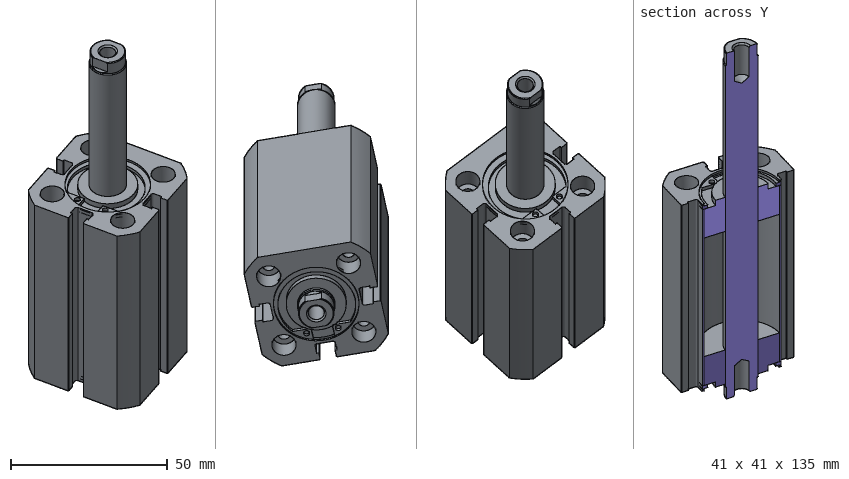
import cadquery as cq
import math

housing_width = 41.0
housing_height = 73.0
corner_diameter = 51.0
bore_radius = 13.6

slot_mouth_width = 5.3
slot_mouth_chamfer = 0.3
slot_lip_depth = 2.5
side_slot_floor = 14.5
front_slot_floor = 14.6
slot_inner_width = 6.6
slot_corner_radius = 0.8

mount_pitch = 25.9
mount_hole_diameter = 4.0
mount_counterbore_diameter = 7.7
mount_counterbore_depth = 7.0

ring_setback = 0.8
ring_thickness = 1.2
ring_outer_radius = 14.3
ring_inner_radius = 12.4
ring_inner_offset = 1.0
ring_gap = 6.9
ring_lug_edge = 9.0
ring_hole_x = 5.1
ring_hole_y = 10.5
ring_hole_diameter = 1.9

gland_length = 13.5
gland_boss_radius = 9.6

rod_diameter = 12.0
rod_radius = rod_diameter / 2
rod_length = 135.0
rod_below_housing = 6.0
shoulder_chamfer = 0.32
neck_radius = rod_radius - shoulder_chamfer
neck_length = 4.6
rod_end_chamfer = 0.3
flat_width = 10.0
flat_length = 3.8
rod_hole_radius = 2.5
rod_hole_mouth_radius = 3.1
rod_hole_depth = 12.0
drill_tip_angle = 118.0

mid_height = housing_height / 2
half_width = housing_width / 2


def other_end(shape, height):
    """Copy of a shape reflected to the opposite end, about the horizontal plane at a height."""
    return shape.mirror("XY", (0, 0, height))


def disc(radius, bottom, thickness):
    return cq.Workplane("XY").workplane(offset=bottom).circle(radius).extrude(thickness)


def slot_cutter(floor):
    """T-slot along Z, opening toward -Y, with a chamfered mouth and a rounded floor."""
    lip_y = half_width - slot_lip_depth
    mouth = (
        cq.Workplane("XY")
        .center(0, -(floor + half_width) / 2)
        .rect(slot_mouth_width, half_width - floor)
        .extrude(housing_height)
    )
    channel = (
        cq.Workplane("XY")
        .center(0, -(floor + lip_y) / 2)
        .rect(slot_inner_width, lip_y - floor)
        .extrude(housing_height)
    )
    channel = channel.edges("|Z and >Y").fillet(slot_corner_radius)
    mouth_edge = slot_mouth_width / 2
    chamfers = (
        cq.Workplane("XY")
        .moveTo(-mouth_edge - slot_mouth_chamfer, -half_width)
        .lineTo(mouth_edge + slot_mouth_chamfer, -half_width)
        .lineTo(mouth_edge, -half_width + slot_mouth_chamfer)
        .lineTo(-mouth_edge, -half_width + slot_mouth_chamfer)
        .close()
        .extrude(housing_height)
    )
    return mouth.union(channel).union(chamfers)


def mounting_hole_cutter():
    """Four through holes, counterbored from both ends."""
    pattern = cq.Workplane("XY").rect(mount_pitch, mount_pitch, forConstruction=True).vertices()
    holes = pattern.circle(mount_hole_diameter / 2).extrude(housing_height)
    counterbores = pattern.circle(mount_counterbore_diameter / 2).extrude(mount_counterbore_depth)
    return holes.union(counterbores).union(other_end(counterbores, mid_height))


def make_housing():
    body = cq.Workplane("XY").rect(housing_width, housing_width).extrude(housing_height)
    body = body.intersect(disc(corner_diameter / 2, 0, housing_height))
    body = body.cut(disc(bore_radius, 0, housing_height))

    groove = disc(ring_outer_radius, ring_setback, ring_thickness)
    body = body.cut(groove).cut(other_end(groove, mid_height))

    body = body.cut(slot_cutter(front_slot_floor))
    side_slot = slot_cutter(side_slot_floor)
    for angle in (-90, 90):
        body = body.cut(side_slot.rotate((0, 0, 0), (0, 0, 1), angle))
    return body.cut(mounting_hole_cutter())


def make_lower_gland():
    """Bushing behind the retaining ring, with a boss reaching the end face of the housing."""
    shoulder = ring_setback + ring_thickness
    return (
        disc(bore_radius, shoulder, gland_length - shoulder)
        .union(disc(gland_boss_radius, 0, shoulder))
        .cut(disc(rod_radius, 0, gland_length))
    )


def make_lower_retaining_ring():
    """Internal circlip: eccentric ring with two drilled lugs on the -Y side."""
    plane = cq.Workplane("XY").workplane(offset=ring_setback)
    opening = plane.center(0, -ring_inner_offset).circle(ring_inner_radius).extrude(ring_thickness)
    lug_zone = (
        plane.center(0, -ring_lug_edge - ring_outer_radius / 2)
        .rect(2 * ring_outer_radius, ring_outer_radius)
        .extrude(ring_thickness)
    )
    gap = plane.center(0, -ring_outer_radius / 2).rect(ring_gap, ring_outer_radius).extrude(ring_thickness)
    plier_holes = (
        plane.pushPoints([(-ring_hole_x, -ring_hole_y), (ring_hole_x, -ring_hole_y)])
        .circle(ring_hole_diameter / 2)
        .extrude(ring_thickness)
    )
    return (
        disc(ring_outer_radius, ring_setback, ring_thickness)
        .cut(opening.cut(lug_zone))
        .cut(gap)
        .cut(plier_holes)
    )


def rod_hole_cutter(rod_bottom):
    """Blind hole in the lower rod end, with a countersunk mouth and a drill-point bottom."""
    countersink = rod_hole_mouth_radius - rod_hole_radius
    tip_height = rod_hole_radius / math.tan(math.radians(drill_tip_angle / 2))
    return (
        cq.Workplane("XZ", origin=(0, 0, rod_bottom))
        .moveTo(0, 0)
        .lineTo(rod_hole_mouth_radius, 0)
        .lineTo(rod_hole_radius, countersink)
        .lineTo(rod_hole_radius, rod_hole_depth)
        .lineTo(0, rod_hole_depth + tip_height)
        .close()
        .revolve(360, (0, 0, 0), (0, 1, 0))
    )


def wrench_flat_cutter(rod_bottom):
    """Two flats facing -Y and +Y, each running out in a 45 degree slope."""
    run_out = rod_radius - flat_width / 2
    side = (
        cq.Workplane("YZ", origin=(-rod_radius, 0, rod_bottom))
        .moveTo(flat_width / 2, 0)
        .lineTo(rod_radius, 0)
        .lineTo(rod_radius, flat_length + run_out)
        .lineTo(flat_width / 2, flat_length)
        .close()
        .extrude(2 * rod_radius)
    )
    return side.union(side.mirror("XZ"))


def make_rod():
    rod_bottom = -rod_below_housing
    rod_middle = rod_bottom + rod_length / 2
    rod = disc(neck_radius, rod_bottom, rod_length).faces("<Z or >Z").chamfer(rod_end_chamfer)
    shank = disc(rod_radius, rod_bottom + neck_length, rod_length - 2 * neck_length)
    rod = rod.union(shank.faces("<Z or >Z").chamfer(shoulder_chamfer))
    for cutter in (wrench_flat_cutter(rod_bottom), rod_hole_cutter(rod_bottom)):
        rod = rod.cut(cutter).cut(other_end(cutter, rod_middle))
    return rod


housing = make_housing()
rod = make_rod()
lower_gland = make_lower_gland()
upper_gland = other_end(lower_gland, mid_height)
lower_ring = make_lower_retaining_ring()
upper_ring = other_end(lower_ring, mid_height)

bodies = [housing, rod, lower_gland, upper_gland, lower_ring, upper_ring]
result = cq.Compound.makeCompound([body.solids().val() for body in bodies])